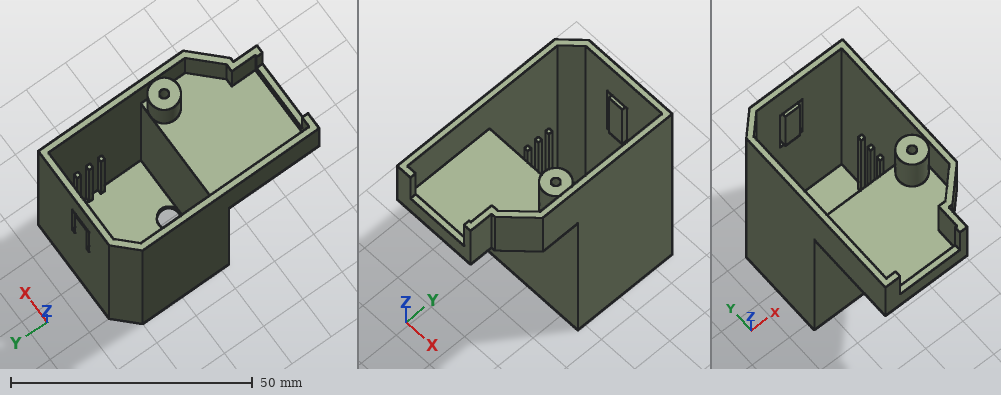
import cadquery as cq

width = 30.0
depth = 50.0
height = 54.0
wall = 1.5

back_chamfer = 4.95
front_chamfer = 7.0
nose_width = 22.05
nose_depth = 6.0

overhang = 23.0
deep_front = 24.95
shelf_bottom = 41.05
shelf_top = 43.1
floor_thickness = wall

notch_left = 4.0
notch_right = 20.05
notch_bottom = 46.0

cable_hole_diameter = 5.0
cable_hole_x = width / 2
cable_hole_y = 27.5

rib_size = 1.0
rib_pitch = 3.0
rib_middle_y = 38.4
rib_top = 24.85

tongue_width = 4.0
tongue_top = 43.0
tongue_bottom = 29.7
tongue_lip = 0.45
tongue_gap = 1.0

post_diameter = 6.95
post_height = 9.9
post_hole_diameter = 2.0
post_y = 21.5


def block(x_min, x_max, y_min, y_max, z_min, z_max):
    """Axis-aligned box given by its limits."""
    size = (x_max - x_min, y_max - y_min, z_max - z_min)
    return cq.Workplane("XY").box(*size, centered=False).translate((x_min, y_min, z_min))


def plan_outline(z):
    """Outer plan outline of the housing, drawn at height z."""
    return cq.Workplane("XY").workplane(offset=z).polyline([
        (0, 0),
        (nose_width, 0),
        (nose_width, nose_depth),
        (width - front_chamfer, nose_depth),
        (width, nose_depth + front_chamfer),
        (width, depth),
        (back_chamfer, depth),
        (0, depth - back_chamfer),
    ]).close()


def make_shell():
    """Outer form with its two-level cavity, open at the top."""
    outer = plan_outline(0).extrude(height)
    outer = outer.cut(block(0, width, 0, overhang, 0, shelf_bottom))
    cavity = plan_outline(floor_thickness).offset2D(-wall, "intersection").extrude(height)
    shelf = block(0, width, 0, deep_front, 0, shelf_top)
    return outer.cut(cavity.cut(shelf))


def front_notch():
    return block(notch_left, notch_right, 0, wall, notch_bottom, height)


def cable_hole():
    hole = cq.Workplane("XY").center(cable_hole_x, cable_hole_y)
    return hole.circle(cable_hole_diameter / 2).extrude(floor_thickness)


def add_ribs(body):
    """Three upright ribs on each side wall, rising from the floor."""
    for wall_x in (wall, width - wall - rib_size):
        for step in (-1, 0, 1):
            y_min = rib_middle_y + step * rib_pitch - rib_size / 2
            rib = block(wall_x, wall_x + rib_size, y_min, y_min + rib_size, floor_thickness, rib_top)
            body = body.union(rib)
    return body


def add_latch_tongue(body):
    """Window through the back wall, filled by a tongue rooted at the window's lower edge."""
    middle = width / 2
    inner_face = depth - wall
    tongue_left = middle - tongue_width / 2
    tongue_right = middle + tongue_width / 2
    window = block(tongue_left - tongue_gap, tongue_right + tongue_gap,
                   inner_face, depth, tongue_bottom, tongue_top + tongue_gap)
    tongue = block(tongue_left, tongue_right, inner_face - tongue_lip, depth, tongue_bottom, tongue_top)
    return body.cut(window).union(tongue)


def make_housing():
    body = make_shell().cut(front_notch()).cut(cable_hole())
    return add_latch_tongue(add_ribs(body))


def make_post():
    """Hollow post standing on the shelf, its side touching the right wall."""
    post_x = width - wall - post_diameter / 2
    base = cq.Workplane("XY").workplane(offset=shelf_top).center(post_x, post_y)
    return base.circle(post_diameter / 2).circle(post_hole_diameter / 2).extrude(post_height)


housing = make_housing()
post = make_post()

result = cq.Compound.makeCompound([housing.val(), post.val()])